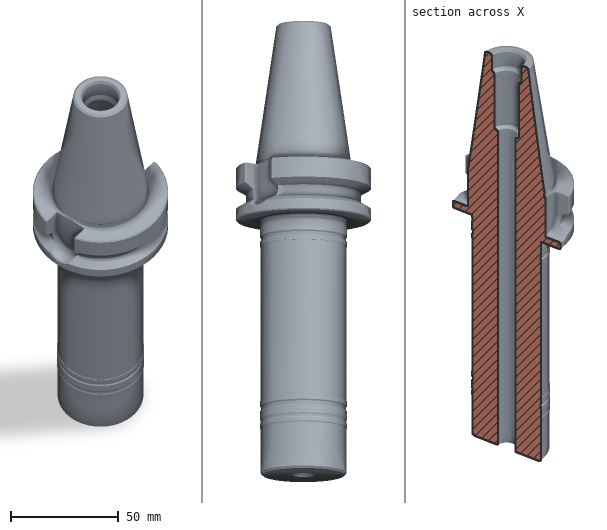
import cadquery as cq
import math


cutter_clearance = 1.0
selector_margin = 0.1

gauge_dia = 44.45
taper_length = 65.4
taper_ratio = 7 / 24
taper_tip_dia = gauge_dia - taper_ratio * taper_length
taper_tip_face_dia = 23.5
taper_tip_bevel_height = 0.8
relief_dia = 43.8
relief_bottom_z = -0.5
flare_dia = 45.1

flange_dia = 63.0
flange_top_z = -2.0
flange_bottom_z = -27.0
flange_top_bevel = 0.6
flange_bottom_bevel = 0.6
v_groove_floor_dia = 53.4
v_groove_center_z = -16.7
v_groove_width = 10.2
v_groove_flank_angle = 30.0

slot_width = 16.1
slot_floor_distance = 22.6
slot_round_center_z = -15.0
slot_floor_fillet = 0.6
slot_cutter_top_z = 0.0
slot_rim_depth = 2.0

body_bottom_z = -147.0
body_dia = 40.0
band_dia = 40.5
body_end_bevel = 1.0

upper_band_bottom_z = -39.1
lower_band_top_z = -112.5
lower_band_bottom_z = -124.8
band_run_out = 0.4

collar_groove_top_z = -28.2
collar_groove_floor_top_z = -28.8
collar_groove_floor_bottom_z = -29.5
collar_groove_bottom_z = -30.8

ring_groove_depth = 0.5
ring_groove_width = 2.6
ring_groove_floor = 1.4
ring_groove_center_zs = (-35.9, -115.8)

shallow_groove_floor = 1.0
shallow_groove_width = 2.2
shallow_groove_center_z = -122.0

pilot_dia = 17.0
pilot_mouth_dia = 18.6
pilot_depth = 9.0
thread_bore_dia = 13.84
thread_bore_depth = 40.0
coolant_dia = 10.11
mouth_half_angle = 30.0
thread_lead_half_angle = 45.0
drill_point_half_angle = 59.0


def cone_height(large_dia, small_dia, half_angle):
    """Axial height of a cone whose side makes half_angle with its axis."""
    return (large_dia - small_dia) / 2 / math.tan(math.radians(half_angle))


def revolve_profile(points):
    """Solid of revolution about Z from (radius, z) points."""
    return cq.Workplane("XZ").polyline(points).close().revolve(360, (0, 0, 0), (0, 1, 0))


def make_taper():
    """Taper with a shallow relief below the gauge plane and a flare onto the flange."""
    return revolve_profile([
        (0, taper_length),
        (taper_tip_face_dia / 2, taper_length),
        (taper_tip_dia / 2, taper_length - taper_tip_bevel_height),
        (gauge_dia / 2, 0),
        (relief_dia / 2, relief_bottom_z),
        (flare_dia / 2, flange_top_z),
        (0, flange_top_z),
    ])


def make_slot_cutter():
    """Round-bottomed slot on the -Y side, open at its top and outer side."""
    half_width = slot_width / 2
    round_bottom_z = slot_round_center_z - half_width
    return (
        cq.Workplane("XZ", origin=(0, -slot_floor_distance, 0))
        .moveTo(-half_width, slot_cutter_top_z)
        .lineTo(-half_width, slot_round_center_z)
        .threePointArc((0, round_bottom_z), (half_width, slot_round_center_z))
        .lineTo(half_width, slot_cutter_top_z)
        .close()
        .extrude(flange_dia / 2)
    )


def make_v_groove():
    """Ring-shaped cutter for the V groove around the flange."""
    rim_radius = flange_dia / 2
    clear_radius = rim_radius + cutter_clearance
    floor_radius = v_groove_floor_dia / 2
    flank_height = (rim_radius - floor_radius) * math.tan(math.radians(v_groove_flank_angle))
    top_z = v_groove_center_z + v_groove_width / 2
    bottom_z = v_groove_center_z - v_groove_width / 2
    return revolve_profile([
        (clear_radius, top_z),
        (rim_radius, top_z),
        (floor_radius, top_z - flank_height),
        (floor_radius, bottom_z + flank_height),
        (rim_radius, bottom_z),
        (clear_radius, bottom_z),
    ])


def slot_edges(inner_distance, outer_distance):
    """Selector for edges of both slots within a range of distances from the axis along Y."""
    low_z = flange_bottom_z + flange_bottom_bevel
    high_z = flange_top_z - selector_margin
    front_box = cq.selectors.BoxSelector(
        (-slot_width, -outer_distance, low_z),
        (slot_width, -inner_distance, high_z),
    )
    back_box = cq.selectors.BoxSelector(
        (-slot_width, inner_distance, low_z),
        (slot_width, outer_distance, high_z),
    )
    return front_box + back_box


def make_flange():
    """Flange disc with both drive slots, beveled edges and the V groove."""
    flange = (
        cq.Workplane("XY", origin=(0, 0, flange_bottom_z))
        .circle(flange_dia / 2)
        .extrude(flange_top_z - flange_bottom_z)
        .faces("<Z")
        .chamfer(flange_bottom_bevel)
    )
    slot_cutter = make_slot_cutter()
    for slot_angle in (0, 180):
        flange = flange.cut(slot_cutter.rotate((0, 0, 0), (0, 0, 1), slot_angle))

    rim_radius = flange_dia / 2
    rim_edges = flange.edges(slot_edges(rim_radius - slot_rim_depth, rim_radius))
    flange = flange.faces(">Z").edges("not |X").add(rim_edges).chamfer(flange_top_bevel)

    floor_edges = slot_edges(slot_floor_distance - selector_margin, slot_floor_distance + selector_margin)
    flange = flange.edges(floor_edges).fillet(slot_floor_fillet)
    return flange.cut(make_v_groove())


def make_body():
    """Long cylinder with two slightly raised bands, one at each end."""
    radius = body_dia / 2
    band_radius = band_dia / 2
    return revolve_profile([
        (0, flange_bottom_z),
        (band_radius, flange_bottom_z),
        (band_radius, collar_groove_top_z),
        (radius, collar_groove_floor_top_z),
        (radius, collar_groove_floor_bottom_z),
        (band_radius, collar_groove_bottom_z),
        (band_radius, upper_band_bottom_z),
        (radius, upper_band_bottom_z),
        (radius, lower_band_top_z),
        (band_radius, lower_band_top_z),
        (band_radius, lower_band_bottom_z),
        (radius, lower_band_bottom_z - band_run_out),
        (radius, body_bottom_z + body_end_bevel),
        (radius - body_end_bevel, body_bottom_z),
        (0, body_bottom_z),
    ])


def make_ring_groove(center_z, floor_radius, width, floor_width):
    """Ring-shaped cutter for a groove with sloped sides in a band."""
    outer_radius = band_dia / 2
    clear_radius = outer_radius + cutter_clearance
    return revolve_profile([
        (clear_radius, center_z + width / 2),
        (outer_radius, center_z + width / 2),
        (floor_radius, center_z + floor_width / 2),
        (floor_radius, center_z - floor_width / 2),
        (outer_radius, center_z - width / 2),
        (clear_radius, center_z - width / 2),
    ])


def make_bore():
    """Stepped through bore: drawbar pilot, thread bore and coolant hole."""
    mouth_height = cone_height(pilot_mouth_dia, pilot_dia, mouth_half_angle)
    lead_height = cone_height(pilot_dia, thread_bore_dia, thread_lead_half_angle)
    point_height = cone_height(thread_bore_dia, coolant_dia, drill_point_half_angle)
    pilot_floor_z = taper_length - pilot_depth
    thread_floor_z = taper_length - thread_bore_depth
    return revolve_profile([
        (0, taper_length),
        (pilot_mouth_dia / 2, taper_length),
        (pilot_dia / 2, taper_length - mouth_height),
        (pilot_dia / 2, pilot_floor_z),
        (thread_bore_dia / 2, pilot_floor_z - lead_height),
        (thread_bore_dia / 2, thread_floor_z),
        (coolant_dia / 2, thread_floor_z - point_height),
        (coolant_dia / 2, body_bottom_z),
        (0, body_bottom_z),
    ])


holder = make_taper().union(make_flange()).union(make_body())

ring_groove_floor_radius = band_dia / 2 - ring_groove_depth
for groove_z in ring_groove_center_zs:
    holder = holder.cut(
        make_ring_groove(groove_z, ring_groove_floor_radius, ring_groove_width, ring_groove_floor)
    )
holder = holder.cut(
    make_ring_groove(shallow_groove_center_z, body_dia / 2, shallow_groove_width, shallow_groove_floor)
)

result = holder.cut(make_bore())